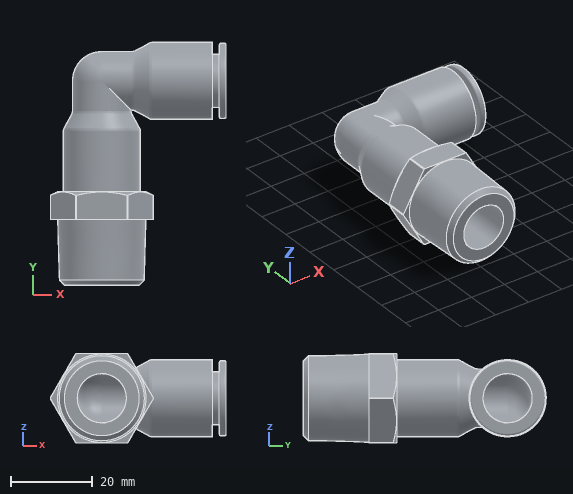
import cadquery as cq
import math

elbow_radius = 7.2
bore_radius = 6.0
sleeve_radius = 9.5

cone_start = 7.8
cone_end = 12.0
cone_blend_radius = 1.4
selection_margin = 0.3
sleeve_end = 27.1

neck_radius = 6.55
collar_radius = 9.25
collar_start = 28.8
collar_end = 30.5
collar_edge_radius = 0.5

overall_length = 59.6
thread_end = overall_length - sleeve_radius
hex_across_flats = 22.0
hex_corner_radius = 12.65
hex_end = 34.05
hex_chamfer_radius = 10.7
hex_chamfer_angle = 26.5
thread_root_radius = 10.85
thread_tip_radius = 10.45
thread_chamfer = 1.25


def along_y(solid):
    """Turn a solid built along +Z so that it runs along -Y."""
    return solid.rotate((0, 0, 0), (1, 0, 0), 90)


def along_x(solid):
    """Turn a solid built along +Z so that it runs along +X."""
    return solid.rotate((0, 0, 0), (0, 1, 0), 90)


def revolve_profile(points):
    """Revolve (radius, height) points about the Z axis."""
    profile = cq.Workplane("XZ").polyline(points).close()
    return profile.revolve(360, (0, 0, 0), (0, 1, 0))


def make_leg():
    """Elbow tube widening through a blended cone into the sleeve."""
    leg = revolve_profile([
        (0, 0),
        (elbow_radius, 0),
        (elbow_radius, cone_start),
        (sleeve_radius, cone_end),
        (sleeve_radius, sleeve_end),
        (0, sleeve_end),
    ])
    cone_rims = cq.selectors.BoxSelector(
        (-overall_length, -overall_length, cone_start - selection_margin),
        (overall_length, overall_length, cone_end + selection_margin),
        boundingbox=True,
    )
    return leg.edges(cone_rims).edges("%CIRCLE").fillet(cone_blend_radius)


def make_collar():
    """Narrow neck and round-edged release collar."""
    neck = cq.Workplane("XY").workplane(offset=sleeve_end).circle(neck_radius)
    neck = neck.extrude(collar_start - sleeve_end)
    collar = cq.Workplane("XY").workplane(offset=collar_start).circle(collar_radius)
    collar = collar.extrude(collar_end - collar_start)
    return neck.union(collar.edges().fillet(collar_edge_radius))


def make_hex():
    """Hexagon with trimmed corners and a turned chamfer on its sleeve side."""
    across_corners = hex_across_flats / math.cos(math.radians(30))
    chamfer_depth = (hex_corner_radius - hex_chamfer_radius) * math.tan(math.radians(hex_chamfer_angle))
    prism = cq.Workplane("XY").workplane(offset=sleeve_end).polygon(6, across_corners)
    prism = prism.extrude(hex_end - sleeve_end)
    turned_envelope = revolve_profile([
        (0, sleeve_end),
        (hex_chamfer_radius, sleeve_end),
        (hex_corner_radius, sleeve_end + chamfer_depth),
        (hex_corner_radius, hex_end),
        (0, hex_end),
    ])
    return prism.intersect(turned_envelope)


def make_thread():
    """Plain tapered thread body with a chamfered tip."""
    return revolve_profile([
        (0, hex_end),
        (thread_root_radius, hex_end),
        (thread_tip_radius, thread_end - thread_chamfer),
        (thread_tip_radius - thread_chamfer, thread_end),
        (0, thread_end),
    ])


def make_bore():
    """Right-angled passage with a spherical outer corner."""
    y_bore = along_y(cq.Workplane("XY").circle(bore_radius).extrude(thread_end))
    x_bore = along_x(cq.Workplane("XY").circle(bore_radius).extrude(collar_end))
    return cq.Workplane("XY").sphere(bore_radius).union(y_bore).union(x_bore)


leg = make_leg()
body = cq.Workplane("XY").sphere(elbow_radius)
body = body.union(along_y(leg)).union(along_x(leg))
body = body.union(along_x(make_collar()))
body = body.union(along_y(make_hex())).union(along_y(make_thread()))
result = body.cut(make_bore())